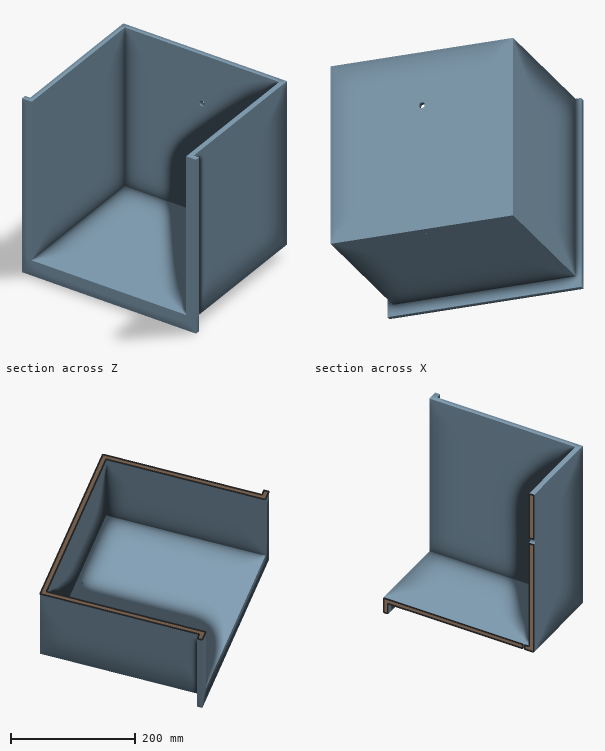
import cadquery as cq

panel = 9.0
flange_overhang = 10.0
inner_width = 299.0
depth = 280.0
box_height = 311.0
flange_drop = 20.0

back_hole_diameter = 10.0
back_hole_from_rim = 93.0
floor_hole_diameter = 2.5
floor_hole_from_back_wall = 10.0

box_width = inner_width + 2 * panel
flange_width = box_width + 2 * flange_overhang
flange_height = box_height + flange_drop
inner_back = depth - panel


def block(width, length, height, front, bottom):
    """Block centred on X, with its front face at Y = front and its base at Z = bottom."""
    base = cq.Workplane("XY", origin=(0, front, bottom))
    return base.box(width, length, height, centered=(True, False, False))


def make_shell():
    """Box with a flange around its front, open at the front and the top."""
    box = block(box_width, depth, box_height, 0, 0)
    flange = block(flange_width, panel, flange_height, 0, -flange_drop)
    cavity = block(inner_width, inner_back, box_height - panel, 0, panel)
    return box.union(flange).cut(cavity)


def back_hole():
    """Round hole through the back wall."""
    start = cq.Workplane("XZ", origin=(0, depth, box_height - back_hole_from_rim))
    return start.circle(back_hole_diameter / 2).extrude(panel)


def floor_hole():
    """Small round hole through the floor, near the back wall."""
    start = cq.Workplane("XY", origin=(0, inner_back - floor_hole_from_back_wall, 0))
    return start.circle(floor_hole_diameter / 2).extrude(panel)


result = make_shell().cut(back_hole()).cut(floor_hole())